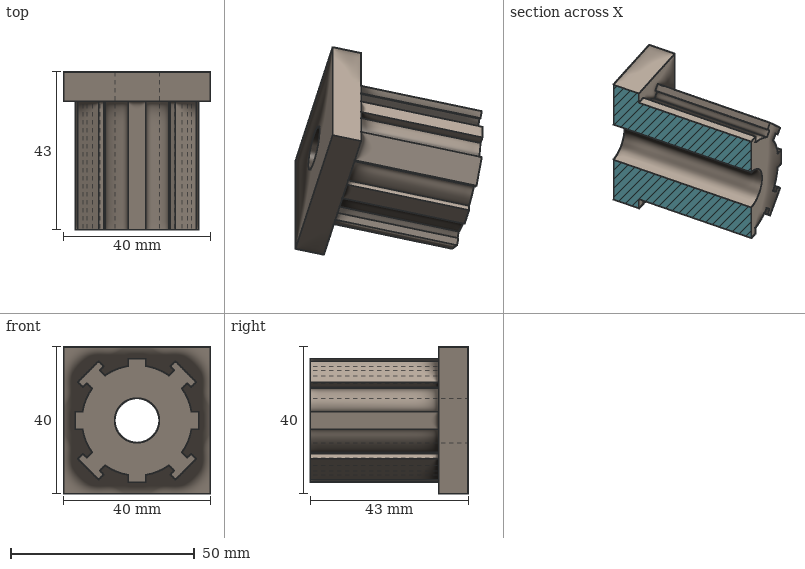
import cadquery as cq

flange_side = 40.0
flange_thickness = 8.0

total_length = 43.0
body_length = total_length - flange_thickness
body_radius = 15.0
bore_diameter = 12.05

plain_rib_width = 4.8
plain_rib_reach = 16.8

neck_width = 5.0
head_width = 8.0
head_reach = 18.8
head_thickness = 1.98

first_diagonal = 45
rib_spacing = 90


def radial_bar(width, inner, outer, angle):
    """Bar along the body, from inner to outer distance, turned about the Y axis."""
    bar = cq.Workplane("XY").box(outer - inner, body_length, width, centered=(False, False, True))
    return bar.translate((inner, 0, 0)).rotate((0, 0, 0), (0, 1, 0), angle)


def plain_rib(angle):
    return radial_bar(plain_rib_width, 0, plain_rib_reach, angle)


def t_rib(angle):
    neck = radial_bar(neck_width, 0, head_reach, angle)
    head = radial_bar(head_width, head_reach - head_thickness, head_reach, angle)
    return neck.union(head)


body = cq.Workplane("XZ").circle(body_radius).extrude(-body_length)
for angle in range(0, 360, rib_spacing):
    body = body.union(plain_rib(angle))
    body = body.union(t_rib(angle + first_diagonal))

flange = (
    cq.Workplane("XZ", origin=(0, body_length, 0))
    .rect(flange_side, flange_side)
    .extrude(-flange_thickness)
)

bore = cq.Workplane("XZ").circle(bore_diameter / 2).extrude(-total_length)

result = body.union(flange).cut(bore)